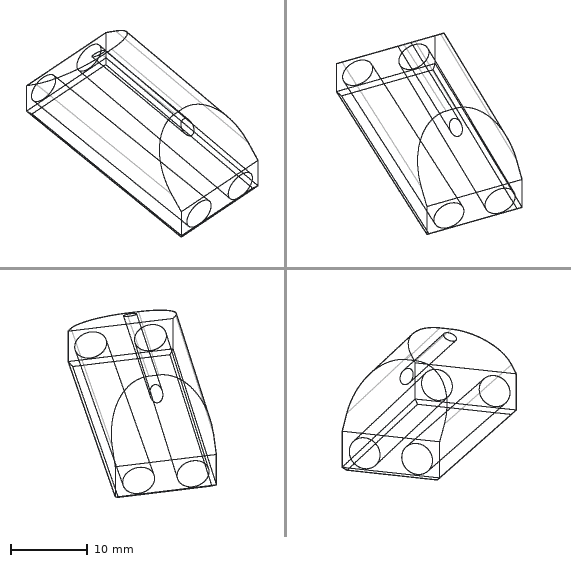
import cadquery as cq

length = 30.0
height = 13.5
wide_end = 14.0
narrow_end = 13.5
roof_radius = 6.15
bottom_chamfer = 0.5

end_face_height = 5.5
slope_run = height - end_face_height

bore_diameter = 4.25
bore_height = 2.8
bore_offset_wide = 4.0
bore_offset_narrow = 3.63

top_bore_diameter = 1.7
top_bore_height = 11.8

half_length = length / 2

cutter_overrun = 0.1


def tapered_body():
    """Wedge-shaped block with rounded roof edges and a chamfered base."""
    footprint = [
        (-half_length, -wide_end / 2),
        (half_length, -narrow_end / 2),
        (half_length, narrow_end / 2),
        (-half_length, wide_end / 2),
    ]
    block = cq.Workplane("XY").polyline(footprint).close().extrude(height)
    block = block.faces(">Z").edges("not |Y").fillet(roof_radius)
    return block.faces("<Z").edges().chamfer(bottom_chamfer)


def end_slope(side):
    """Triangular prism removed above the sloped end; side is -1 or 1 along X."""
    return (
        cq.Workplane("XZ")
        .moveTo(side * half_length, end_face_height)
        .lineTo(side * half_length, height)
        .lineTo(side * (half_length - slope_run), height)
        .close()
        .extrude(wide_end / 2, both=True)
    )


def bore(diameter, bore_z, start_y, end_y):
    """Through bore whose axis runs from start_y at the -X end to end_y at the +X end."""
    start = cq.Vector(-half_length, start_y, bore_z)
    path = cq.Vector(half_length, end_y, bore_z) - start
    overrun = path * cutter_overrun
    cutter_length = (path + overrun * 2).Length
    return cq.Solid.makeCylinder(diameter / 2, cutter_length, start - overrun, path)


result = tapered_body()
for side in (-1, 1):
    result = result.cut(end_slope(side))
    start_y = side * bore_offset_wide
    end_y = side * bore_offset_narrow
    result = result.cut(bore(bore_diameter, bore_height, start_y, end_y))
result = result.cut(bore(top_bore_diameter, top_bore_height, 0, 0))